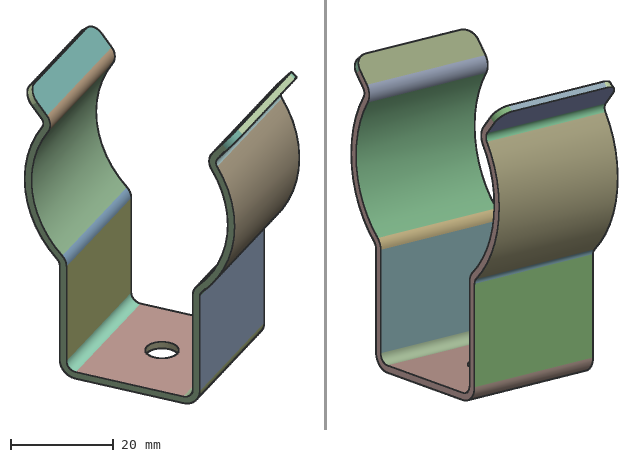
import cadquery as cq
import math

clip_height = 62.0
clip_depth = 30.0
sheet = 1.5

channel_width = 30.0
base_bend_inner = 2.0
base_bend_outer = base_bend_inner + sheet

grip_inner = 21.0
grip_outer = grip_inner + sheet
grip_centre_z = 42.0

bend_tight = 1.5
bend_wide = bend_tight + sheet
throat_gap = 34.0

flange_angle = math.radians(40.0)
flange_corner_radius = 3.0

hole_diameter = 6.5


def toward(start, target, distance):
    """Point at a distance from start along the line to target."""
    fraction = distance / math.dist(start, target)
    return (
        start[0] + fraction * (target[0] - start[0]),
        start[1] + fraction * (target[1] - start[1]),
    )


def polar(centre, radius, angle):
    return (centre[0] + radius * math.cos(angle), centre[1] + radius * math.sin(angle))


half_width = channel_width / 2
grip_centre = (0.0, grip_centre_z)
bend_spacing = grip_outer + bend_tight

foot_x = half_width + bend_tight
foot_centre = (foot_x, grip_centre_z - math.sqrt(bend_spacing**2 - foot_x**2))

throat_x = throat_gap / 2 + bend_wide
throat_centre = (throat_x, grip_centre_z + math.sqrt(bend_spacing**2 - throat_x**2))

flange_normal_angle = math.pi - flange_angle
flange_start_inner = polar(throat_centre, bend_wide, flange_normal_angle)
flange_start_outer = polar(throat_centre, bend_tight, flange_normal_angle)
flange_length = (clip_height - flange_start_inner[1]) / math.cos(flange_angle)
flange_direction = math.pi / 2 - flange_angle
flange_tip_inner = polar(flange_start_inner, flange_length, flange_direction)
flange_tip_outer = polar(flange_start_outer, flange_length, flange_direction)


def half_profile():
    """Right half of the bent strip, ending on the centre plane."""
    wall_inner_x = half_width - sheet
    base_bend_centre = (half_width - base_bend_outer, base_bend_outer)
    foot_mid_angle = (math.pi + math.atan2(
        grip_centre[1] - foot_centre[1], grip_centre[0] - foot_centre[0]
    )) / 2
    grip_to_throat_angle = math.atan2(
        grip_centre[1] - throat_centre[1], grip_centre[0] - throat_centre[0]
    ) % (2 * math.pi)
    throat_mid_angle = (flange_normal_angle + grip_to_throat_angle) / 2
    base_mid_angle = -math.pi / 4
    return (
        cq.Workplane("XZ")
        .moveTo(0, 0)
        .lineTo(base_bend_centre[0], 0)
        .threePointArc(
            polar(base_bend_centre, base_bend_outer, base_mid_angle),
            (half_width, base_bend_outer),
        )
        .lineTo(half_width, foot_centre[1])
        .threePointArc(
            polar(foot_centre, bend_tight, foot_mid_angle),
            toward(foot_centre, grip_centre, bend_tight),
        )
        .threePointArc(
            (grip_outer, grip_centre_z),
            toward(throat_centre, grip_centre, bend_tight),
        )
        .threePointArc(polar(throat_centre, bend_tight, throat_mid_angle), flange_start_outer)
        .lineTo(*flange_tip_outer)
        .lineTo(*flange_tip_inner)
        .lineTo(*flange_start_inner)
        .threePointArc(
            polar(throat_centre, bend_wide, throat_mid_angle),
            toward(throat_centre, grip_centre, bend_wide),
        )
        .threePointArc(
            (grip_inner, grip_centre_z),
            toward(foot_centre, grip_centre, bend_wide),
        )
        .threePointArc(
            polar(foot_centre, bend_wide, foot_mid_angle),
            (wall_inner_x, foot_centre[1]),
        )
        .lineTo(wall_inner_x, base_bend_outer)
        .threePointArc(
            polar(base_bend_centre, base_bend_inner, base_mid_angle),
            (base_bend_centre[0], sheet),
        )
        .lineTo(0, sheet)
        .close()
    )


def half_clip():
    """Half of the strip, with the two corners of its flange rounded."""
    tip_middle = (
        (flange_tip_inner[0] + flange_tip_outer[0]) / 2,
        0,
        (flange_tip_inner[1] + flange_tip_outer[1]) / 2,
    )
    tip_face = cq.selectors.NearestToPointSelector(tip_middle)
    strip = half_profile().extrude(clip_depth / 2, both=True)
    return strip.faces(tip_face).edges("#Y").fillet(flange_corner_radius)


def mounting_hole():
    """Cutter for the round hole in the middle of the base."""
    return cq.Workplane("XY").circle(hole_diameter / 2).extrude(sheet)


right_half = half_clip()
result = right_half.union(right_half.mirror("YZ")).clean().cut(mounting_hole())